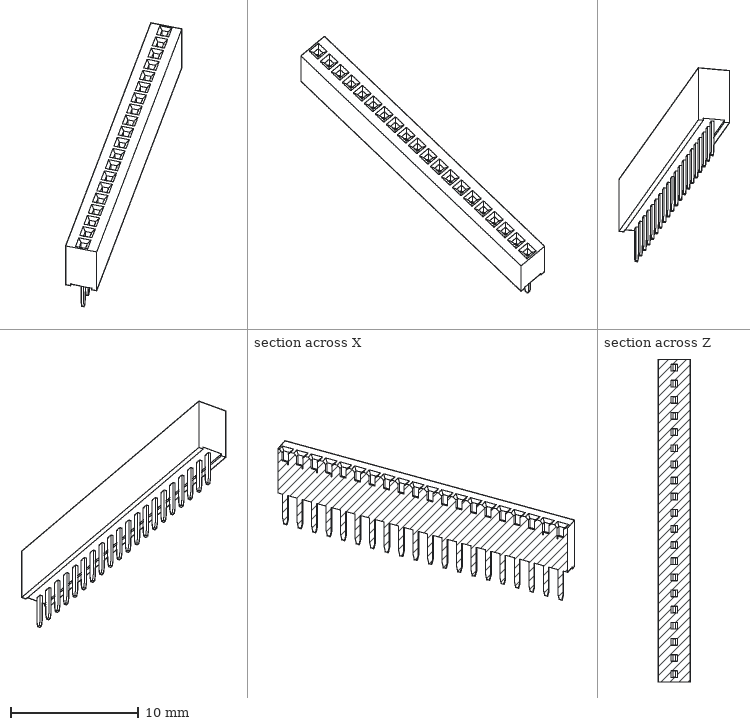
import cadquery as cq


position_count = 20
pitch = 1.27
length = position_count * pitch
width = 2.55
total_height = 7.0
housing_height = 4.4
housing_bottom = total_height - housing_height

foot_width = 0.4
foot_height = 0.18
channel_width = width - 2 * foot_width

mouth_size = 1.0
well_size = 0.5
mouth_depth = (mouth_size - well_size) / 2
well_depth = 1.02
well_top = total_height - mouth_depth
well_floor = well_top - well_depth

pin_width = 0.48
pin_thickness = 0.2
pin_rise = 0.25
pin_top = well_floor + pin_rise
tip_width = 0.25
tip_length = 0.5

positions = [(0, (index + 0.5) * pitch - length / 2) for index in range(position_count)]


def make_housing():
    underside = cq.Workplane("XY").workplane(offset=housing_bottom)
    block = underside.rect(width, length).extrude(housing_height)
    channel = underside.rect(channel_width, length).extrude(foot_height)
    return block.cut(channel)


def make_socket():
    mouth = (
        cq.Workplane("XY")
        .workplane(offset=well_top)
        .rect(well_size, well_size)
        .workplane(offset=mouth_depth)
        .rect(mouth_size, mouth_size)
        .loft(ruled=True)
    )
    well = cq.Workplane("XY").workplane(offset=well_floor).rect(well_size, well_size).extrude(well_depth)
    return mouth.union(well)


def make_pin():
    outline = [
        (-tip_width / 2, 0),
        (tip_width / 2, 0),
        (pin_width / 2, tip_length),
        (pin_width / 2, pin_top),
        (-pin_width / 2, pin_top),
        (-pin_width / 2, tip_length),
    ]
    return cq.Workplane("YZ").polyline(outline).close().extrude(pin_thickness / 2, both=True)


def at_positions(shape):
    solid = shape.val()
    centres = cq.Workplane("XY").pushPoints(positions)
    return centres.eachpoint(lambda place: solid.moved(place), combine=False)


result = make_housing().cut(at_positions(make_socket())).union(at_positions(make_pin()))